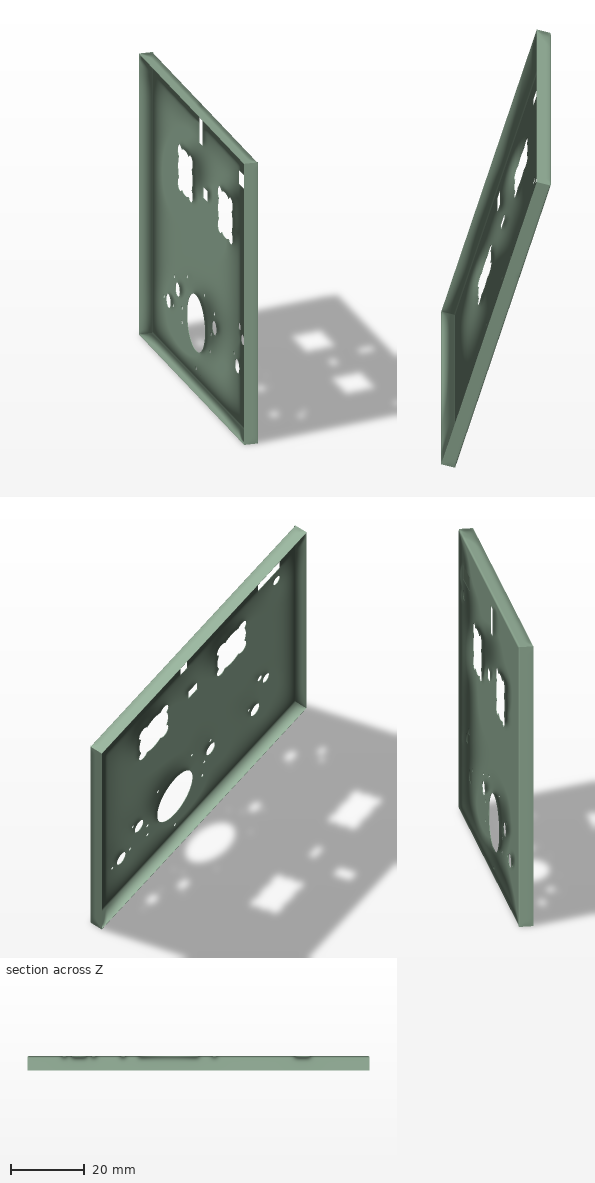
import cadquery as cq
import math

WIDTH = 92.8
DEPTH = 4.0
HEIGHT = 81.1

SHEET = 0.15
SIDE_INNER_BEND = 0.22
END_INNER_BEND = 0.4
SIDE_OUTER_BEND = SIDE_INNER_BEND + SHEET
END_OUTER_BEND = END_INNER_BEND + SHEET

SCREW_DIAMETER = 1.0
SHAFT_DIAMETER = 4.0
LAMP_DIAMETER = 3.0
LAMP_CENTRES = [(37.9, 24.4), (33.1, -15.2)]
PILOT_DIAMETER = 1.95
PILOT_CENTRE = (30.3, -12.3)

DIAL_DIAMETER = 16.1
DIAL_CENTRE = (-8.1, -24.5)
DIAL_SCREW_RADIUS = 13.1
DIAL_SCREW_COUNT = 5

SHAFT_SCREW_RADIUS = 4.0
SHAFTS = [
    ((-32.4, -26.4), [0, 180]),
    ((-24.3, -20.4), [135]),
    ((8.1, -20.4), [90, 225]),
    ((28.2, -24.5), [135]),
]
LONE_SCREW_CENTRE = (-20.5, -24.4)

SOCKET_CENTRES = [(-17.6, 15.4), (17.6, 15.4)]
SOCKET_DIAMETER = 13.1
SOCKET_CORNER_DIAMETER = 4.0
SOCKET_CORNER_PITCH = 9.4

WINDOWS = [
    ((-4.0, 32.6), 3.2, 8.2),
    ((34.4, 30.6), 9.9, 4.1),
    ((0.0, 15.4), 4.1, 3.2),
]


def bar(width, length, bend):
    """Solid bar along Z with the two long edges of its +Y face rounded."""
    return cq.Workplane("XY").box(width, DEPTH, length).faces(">Y").edges("|Z").fillet(bend)


def channel(width, length, inner_bend):
    """Sheet bent into a U whose floor is at the +Y side, running along Z."""
    hollow = bar(width - 2 * SHEET, length, inner_bend).translate((0, -SHEET, 0))
    return bar(width, length, inner_bend + SHEET).cut(hollow)


def tray():
    """Panel with full-height side flanges and top and bottom flanges fitted between them."""
    sides = channel(WIDTH, HEIGHT, SIDE_INNER_BEND)
    flat_width = WIDTH - 2 * SIDE_OUTER_BEND
    flat_height = HEIGHT - 2 * END_OUTER_BEND
    floor_end = cq.Workplane("XY").box(flat_width, DEPTH, END_OUTER_BEND)
    for side in (-1, 1):
        sides = sides.cut(floor_end.translate((0, 0, side * (flat_height + END_OUTER_BEND) / 2)))
    ends = channel(HEIGHT, WIDTH - 2 * SHEET, END_INNER_BEND).rotate((0, 0, 0), (0, 1, 0), 90)
    return sides.union(ends)


def polar(centre, radius, degrees):
    """Point at a radius and angle around a centre."""
    angle = math.radians(degrees)
    return (centre[0] + radius * math.cos(angle), centre[1] + radius * math.sin(angle))


def sketch_plane():
    """XZ workplane behind the panel, extruding toward -Y."""
    return cq.Workplane("XZ", origin=(0, DEPTH, 0))


def round_cutter(centres, diameter):
    """Cylinders along Y that pass through the panel."""
    return sketch_plane().pushPoints(centres).circle(diameter / 2).extrude(2 * DEPTH)


def window_cutter(centre, width, height):
    """Rectangular prism along Y that passes through the panel."""
    return sketch_plane().center(*centre).rect(width, height).extrude(2 * DEPTH)


def socket_corners(centre):
    """Centres of the four corner holes of a socket opening."""
    offset = SOCKET_CORNER_PITCH / 2
    return [(centre[0] + i * offset, centre[1] + j * offset) for i in (-1, 1) for j in (-1, 1)]


dial_step = 360 / DIAL_SCREW_COUNT
screw_centres = [polar(DIAL_CENTRE, DIAL_SCREW_RADIUS, i * dial_step - 90) for i in range(DIAL_SCREW_COUNT)]
screw_centres.append(LONE_SCREW_CENTRE)
for shaft_centre, angles in SHAFTS:
    screw_centres += [polar(shaft_centre, SHAFT_SCREW_RADIUS, angle) for angle in angles]

result = tray()
result = result.cut(round_cutter(screw_centres, SCREW_DIAMETER))
result = result.cut(round_cutter([centre for centre, _ in SHAFTS], SHAFT_DIAMETER))
result = result.cut(round_cutter(LAMP_CENTRES, LAMP_DIAMETER))
result = result.cut(round_cutter([PILOT_CENTRE], PILOT_DIAMETER))
result = result.cut(round_cutter([DIAL_CENTRE], DIAL_DIAMETER))
for socket_centre in SOCKET_CENTRES:
    result = result.cut(round_cutter([socket_centre], SOCKET_DIAMETER))
    result = result.cut(round_cutter(socket_corners(socket_centre), SOCKET_CORNER_DIAMETER))
for window in WINDOWS:
    result = result.cut(window_cutter(*window))